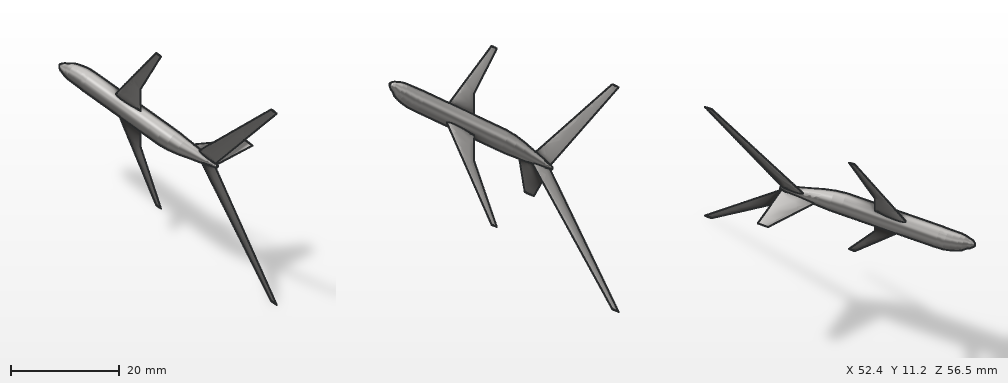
import cadquery as cq
import math


FUSELAGE_RADIUS = 2.05
FUSELAGE_STATIONS = [
    (0, -0.75, 0.2),
    (0.35, -0.75, 0.55),
    (0.75, -0.7, 0.85),
    (1.25, -0.6, 1.0),
    (2.1, -0.4, 1.45),
    (2.95, -0.3, 1.7),
    (4.1, -0.1, 1.85),
    (5.3, 0, 2.0),
    (6.85, 0, FUSELAGE_RADIUS),
    (22.85, 0, FUSELAGE_RADIUS),
    (25.4, 0, FUSELAGE_RADIUS),
    (27.6, 0.1, 1.9),
    (29.8, 0.3, 1.65),
    (32.0, 0.55, 1.3),
    (35.05, 0.85, 0.8),
    (36.5, 1.0, 0.5),
    (37.5, 1.1, 0.2),
]

WING_HEIGHT = 0.05
WING_THICKNESS_RATIO = 0.12
WING_SECTIONS = [(0, 12.25, 19.35), (8.45, 16.4, 19.35), (22.4, 23.2, 24.45)]

TAILPLANE_HEIGHT = 1.1
TAILPLANE_THICKNESS_RATIO = 0.1
TAILPLANE_SECTIONS = [(0, 32.35, 36.75), (28.25, 50.85, 52.35)]

FIN_ROOT_HEIGHT = 1.15
FIN_TIP_HEIGHT = 9.15
FIN_THICKNESS_RATIO = 0.1
FIN_SECTIONS = [(0, 29.9, 37.05), (FIN_TIP_HEIGHT - FIN_ROOT_HEIGHT, 36.85, 38.95)]

AIRFOIL_POINTS_PER_SIDE = 12


def circular_section(x, height, radius):
    """Circle across the fuselage, split into quarter arcs so that seams run along it."""
    diagonal = radius * math.sqrt(0.5)
    plane = cq.Plane(origin=(x, height, 0), xDir=(0, 1, 0), normal=(1, 0, 0))
    return (
        cq.Workplane(plane)
        .moveTo(radius, 0)
        .threePointArc((diagonal, diagonal), (0, radius))
        .threePointArc((-diagonal, diagonal), (-radius, 0))
        .threePointArc((-diagonal, -diagonal), (0, -radius))
        .threePointArc((diagonal, -diagonal), (radius, 0))
        .close()
        .val()
    )


def half_thickness(fraction, thickness_ratio):
    """Half thickness per unit chord of a symmetric four-digit NACA airfoil with a closed trailing edge."""
    return 5 * thickness_ratio * (
        0.2969 * math.sqrt(fraction)
        - 0.1260 * fraction
        - 0.3516 * fraction**2
        + 0.2843 * fraction**3
        - 0.1036 * fraction**4
    )


def airfoil_section(span, leading_x, trailing_x, thickness_ratio):
    """Airfoil outline parallel to the XY plane, placed at its spanwise station."""
    chord = trailing_x - leading_x
    upper = []
    for i in range(1, AIRFOIL_POINTS_PER_SIDE):
        fraction = (1 - math.cos(math.pi * i / AIRFOIL_POINTS_PER_SIDE)) / 2
        upper.append((leading_x + chord * fraction, chord * half_thickness(fraction, thickness_ratio)))
    lower = [(x, -y) for x, y in reversed(upper)]
    leading_point = (leading_x, 0)
    trailing_point = (trailing_x, 0)
    return (
        cq.Workplane("XY")
        .workplane(offset=span)
        .moveTo(*leading_point)
        .spline(upper + [trailing_point], includeCurrent=True)
        .spline(lower + [leading_point], includeCurrent=True)
        .wire()
        .val()
    )


def lofted_surface(sections, thickness_ratio):
    """Straight-sided panels through airfoil sections spaced along Z."""
    wires = [airfoil_section(*section, thickness_ratio) for section in sections]
    return cq.Workplane(cq.Solid.makeLoft(wires, True))


def symmetric_surface(sections, thickness_ratio, height):
    """Left and right panels, symmetric about the fuselage centre plane."""
    opposite = [(-span, leading_x, trailing_x) for span, leading_x, trailing_x in reversed(sections[1:])]
    return lofted_surface(opposite + sections, thickness_ratio).translate((0, height, 0))


fuselage = cq.Workplane(
    cq.Solid.makeLoft([circular_section(*station) for station in FUSELAGE_STATIONS], True)
)
wing = symmetric_surface(WING_SECTIONS, WING_THICKNESS_RATIO, WING_HEIGHT)
tailplane = symmetric_surface(TAILPLANE_SECTIONS, TAILPLANE_THICKNESS_RATIO, TAILPLANE_HEIGHT)

fin = (
    lofted_surface(FIN_SECTIONS, FIN_THICKNESS_RATIO)
    .rotate((0, 0, 0), (1, 0, 0), -90)
    .translate((0, FIN_ROOT_HEIGHT, 0))
)

result = (
    fuselage.union(wing, clean=False)
    .union(tailplane, clean=False)
    .union(fin, clean=False)
)